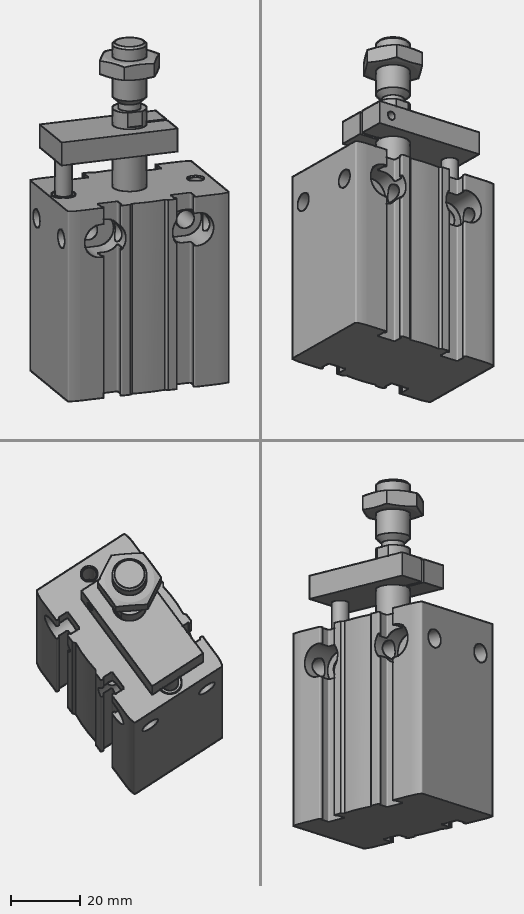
import cadquery as cq
import math

HOUSING_WIDTH = 32.0
HOUSING_LENGTH = 50.0
HOUSING_HEIGHT = 58.0
CORNER_FILLET = 0.5
SHOULDER_Y = 21.4
SHOULDER_END_INSET = 0.5

SLOT_Y = 11.3
SLOT_WIDTH = 6.2
SLOT_MOUTH = 5.3
SLOT_DEPTH = 4.2
LIP_THICKNESS = 1.0
LIP_FILLET = 0.4
SLOT_FLOOR_FILLET = 0.4

RECESS_OUTER_Y = 5.9
RECESS_INNER_Y = 5.1
RECESS_DEPTH = 0.6
BULGE_INSET = 0.3

MOUNT_HOLE_DIAMETER = 5.5
MOUNT_HOLE_Z = HOUSING_HEIGHT - 10.0
CROSS_HOLE_Y = 15.0
LENGTHWISE_HOLE_X = 10.0
COUNTERBORE_DIAMETER = 10.0
COUNTERBORE_STRETCH = 2.8
COUNTERBORE_DEPTH = 10.0

PORT_Y = 20.5
PORT_DIAMETER = 4.2
PORT_MOUTH_DIAMETER = 5.0
PORT_DEPTH = 10.0
DRILL_POINT_ANGLE = 118

ROD_DIAMETER = 10.0
ROD_TOP_Z = 102.0
ROD_TIP_DIAMETER = 8.7
ROD_INSERTION = 20.0
NECK_DIAMETER = 6.6
NECK_BOTTOM_Z = 82.0
NECK_TOP_Z = 83.9
FLATS_BOTTOM_Z = 77.6
FLATS_WIDTH = 9.0

NUT_ACROSS_FLATS = 16.0
NUT_THICKNESS = 5.0
NUT_BOTTOM_Z = 92.8
NUT_FACE_DIAMETER = 14.4
NUT_CORNER_DROP = 0.5

PLATE_WIDTH = 18.0
PLATE_FRONT_Y = -24.5
PLATE_BACK_Y = 11.5
PLATE_BOTTOM_Z = 70.0
PLATE_THICKNESS = 7.0
SLIT_WIDTH = 1.0
SCREW_HOLE_DIAMETER = 2.5
SCREW_HOLE_Y = 7.2

GUIDE_Y = -PORT_Y
PIN_DIAMETER = 5.0
PIN_PLATE_DEPTH = 4.0
PIN_INSERTION = 20.0
BUSHING_DIAMETER = 7.0
BUSHING_FACE_DIAMETER = 6.6
BUSHING_LENGTH = 5.0


def upright_cylinder(diameter, bottom, top, y=0.0):
    """Cylinder along Z between two heights, centred on X = 0."""
    return cq.Workplane("XY", origin=(0, y, bottom)).circle(diameter / 2).extrude(top - bottom)


def housing_outline():
    """Plain prism: flat sides that curve in slightly towards the two ends."""
    side_x = HOUSING_WIDTH / 2
    end_y = HOUSING_LENGTH / 2
    run = end_y - SHOULDER_Y
    radius = (run**2 + SHOULDER_END_INSET**2) / (2 * SHOULDER_END_INSET)
    end_x = side_x - SHOULDER_END_INSET
    middle_x = side_x - radius + math.sqrt(radius**2 - (run / 2) ** 2)
    middle_y = SHOULDER_Y + run / 2
    prism = (
        cq.Workplane("XY")
        .moveTo(side_x, -SHOULDER_Y)
        .lineTo(side_x, SHOULDER_Y)
        .threePointArc((middle_x, middle_y), (end_x, end_y))
        .lineTo(-end_x, end_y)
        .threePointArc((-middle_x, middle_y), (-side_x, SHOULDER_Y))
        .lineTo(-side_x, -SHOULDER_Y)
        .threePointArc((-middle_x, -middle_y), (-end_x, -end_y))
        .lineTo(end_x, -end_y)
        .threePointArc((middle_x, -middle_y), (side_x, -SHOULDER_Y))
        .close()
        .extrude(HOUSING_HEIGHT)
    )
    return prism.edges("|Z").edges("<Y or >Y").fillet(CORNER_FILLET)


def side_slot(side, y):
    """Tool for one sensor slot; `side` is +1 or -1 for the +X or -X side."""
    side_x = side * HOUSING_WIDTH / 2
    lip_x = side_x - side * LIP_THICKNESS
    floor_x = side_x - side * SLOT_DEPTH
    round_x = side_x - side * LIP_FILLET
    half_mouth = SLOT_MOUTH / 2
    half_open = half_mouth + LIP_FILLET
    bend = LIP_FILLET * (1 - math.sqrt(0.5))
    cavity = (
        cq.Workplane("XY")
        .center((lip_x + floor_x) / 2, y)
        .rect(abs(lip_x - floor_x), SLOT_WIDTH)
        .extrude(HOUSING_HEIGHT)
        .edges("|Z and " + ("<X" if side > 0 else ">X"))
        .fillet(SLOT_FLOOR_FILLET)
    )
    mouth = (
        cq.Workplane("XY")
        .moveTo(lip_x, y - half_mouth)
        .lineTo(round_x, y - half_mouth)
        .threePointArc((side_x - side * bend, y - half_mouth - bend), (side_x, y - half_open))
        .lineTo(side_x, y + half_open)
        .threePointArc((side_x - side * bend, y + half_mouth + bend), (round_x, y + half_mouth))
        .lineTo(lip_x, y + half_mouth)
        .close()
        .extrude(HOUSING_HEIGHT)
    )
    return cavity.union(mouth)


def side_recess(side):
    """Tool for the shallow recess with a bulged floor."""
    side_x = side * HOUSING_WIDTH / 2
    floor_x = side_x - side * RECESS_DEPTH
    return (
        cq.Workplane("XY")
        .moveTo(side_x, -RECESS_OUTER_Y)
        .lineTo(floor_x, -RECESS_INNER_Y)
        .threePointArc((side_x - side * BULGE_INSET, 0), (floor_x, RECESS_INNER_Y))
        .lineTo(side_x, RECESS_OUTER_Y)
        .close()
        .extrude(HOUSING_HEIGHT)
    )


def cross_hole(end):
    """Tool for one hole along X with a stretched counterbore at both ends."""
    y = end * CROSS_HOLE_Y
    hole = (
        cq.Workplane("YZ", origin=(0, y, MOUNT_HOLE_Z))
        .circle(MOUNT_HOLE_DIAMETER / 2)
        .extrude(HOUSING_WIDTH / 2, both=True)
    )
    counterbore_y = y - end * COUNTERBORE_STRETCH / 2
    for side in (-1, 1):
        counterbore = (
            cq.Workplane("YZ", origin=(side * HOUSING_WIDTH / 2, counterbore_y, MOUNT_HOLE_Z))
            .slot2D(COUNTERBORE_DIAMETER + COUNTERBORE_STRETCH, COUNTERBORE_DIAMETER)
            .extrude(-side * COUNTERBORE_DEPTH)
        )
        hole = hole.union(counterbore)
    return hole


def lengthwise_hole(side):
    """Tool for one plain hole along Y."""
    return (
        cq.Workplane("XZ", origin=(side * LENGTHWISE_HOLE_X, 0, MOUNT_HOLE_Z))
        .circle(MOUNT_HOLE_DIAMETER / 2)
        .extrude(HOUSING_LENGTH / 2, both=True)
    )


def port_hole():
    """Tool for the countersunk blind port with a drill point."""
    radius = PORT_DIAMETER / 2
    mouth_radius = PORT_MOUTH_DIAMETER / 2
    point_depth = radius / math.tan(math.radians(DRILL_POINT_ANGLE / 2))
    return (
        cq.Workplane("XZ", origin=(0, PORT_Y, HOUSING_HEIGHT))
        .polyline([
            (0, 0),
            (mouth_radius, 0),
            (radius, radius - mouth_radius),
            (radius, -PORT_DEPTH),
            (0, -PORT_DEPTH - point_depth),
        ])
        .close()
        .revolve(360, (0, 0, 0), (0, 1, 0))
    )


def make_housing():
    body = housing_outline()
    for side in (-1, 1):
        body = body.cut(side_recess(side))
        body = body.cut(lengthwise_hole(side))
        for end in (-1, 1):
            body = body.cut(side_slot(side, end * SLOT_Y))
    for end in (-1, 1):
        body = body.cut(cross_hole(end))
    body = body.cut(port_hole())
    top = HOUSING_HEIGHT
    body = body.cut(upright_cylinder(ROD_DIAMETER, top - ROD_INSERTION, top))
    body = body.cut(upright_cylinder(PIN_DIAMETER, top - PIN_INSERTION, top, GUIDE_Y))
    return body.cut(upright_cylinder(BUSHING_DIAMETER, top - BUSHING_LENGTH, top, GUIDE_Y))


def make_rod():
    radius = ROD_DIAMETER / 2
    neck_radius = NECK_DIAMETER / 2
    tip_radius = ROD_TIP_DIAMETER / 2
    bottom = HOUSING_HEIGHT - ROD_INSERTION
    rod = (
        cq.Workplane("XZ")
        .polyline([
            (0, bottom),
            (radius, bottom),
            (radius, NECK_BOTTOM_Z),
            (neck_radius, NECK_BOTTOM_Z),
            (neck_radius, NECK_TOP_Z),
            (radius, NECK_TOP_Z + radius - neck_radius),
            (radius, ROD_TOP_Z - (radius - tip_radius)),
            (tip_radius, ROD_TOP_Z),
            (0, ROD_TOP_Z),
        ])
        .close()
        .revolve(360, (0, 0, 0), (0, 1, 0))
    )
    for side in (-1, 1):
        flat_cut = cq.Workplane("XY").box(
            ROD_DIAMETER, ROD_DIAMETER, NECK_BOTTOM_Z - FLATS_BOTTOM_Z, centered=(True, True, False)
        ).translate((side * (FLATS_WIDTH + ROD_DIAMETER) / 2, 0, FLATS_BOTTOM_Z))
        rod = rod.cut(flat_cut)
    return rod


def make_nut():
    corner_radius = NUT_ACROSS_FLATS / math.sqrt(3)
    face_radius = NUT_FACE_DIAMETER / 2
    top = NUT_BOTTOM_Z + NUT_THICKNESS
    hexagon = (
        cq.Workplane("XY", origin=(0, 0, NUT_BOTTOM_Z))
        .polygon(6, 2 * corner_radius)
        .extrude(NUT_THICKNESS)
        .rotate((0, 0, 0), (0, 0, 1), 90)
    )
    bevel = (
        cq.Workplane("XZ")
        .polyline([
            (0, NUT_BOTTOM_Z),
            (face_radius, NUT_BOTTOM_Z),
            (corner_radius, NUT_BOTTOM_Z + NUT_CORNER_DROP),
            (corner_radius, top - NUT_CORNER_DROP),
            (face_radius, top),
            (0, top),
        ])
        .close()
        .revolve(360, (0, 0, 0), (0, 1, 0))
    )
    bore = upright_cylinder(ROD_DIAMETER, NUT_BOTTOM_Z, top)
    return hexagon.intersect(bevel).cut(bore)


def make_plate():
    length = PLATE_BACK_Y - PLATE_FRONT_Y
    top = PLATE_BOTTOM_Z + PLATE_THICKNESS
    plate = (
        cq.Workplane("XY", origin=(0, (PLATE_FRONT_Y + PLATE_BACK_Y) / 2, PLATE_BOTTOM_Z))
        .rect(PLATE_WIDTH, length)
        .extrude(PLATE_THICKNESS)
    )
    slit = (
        cq.Workplane("XY", origin=(0, PLATE_BACK_Y / 2, PLATE_BOTTOM_Z))
        .rect(SLIT_WIDTH, PLATE_BACK_Y)
        .extrude(PLATE_THICKNESS)
    )
    screw_hole = (
        cq.Workplane("YZ", origin=(-PLATE_WIDTH / 2, SCREW_HOLE_Y, PLATE_BOTTOM_Z + PLATE_THICKNESS / 2))
        .circle(SCREW_HOLE_DIAMETER / 2)
        .extrude(PLATE_WIDTH / 2)
    )
    rod_bore = upright_cylinder(ROD_DIAMETER, PLATE_BOTTOM_Z, top)
    pin_socket = upright_cylinder(PIN_DIAMETER, PLATE_BOTTOM_Z, PLATE_BOTTOM_Z + PIN_PLATE_DEPTH, GUIDE_Y)
    return plate.cut(slit).cut(screw_hole).cut(rod_bore).cut(pin_socket)


def make_guide_pin():
    return upright_cylinder(
        PIN_DIAMETER, HOUSING_HEIGHT - PIN_INSERTION, PLATE_BOTTOM_Z + PIN_PLATE_DEPTH, GUIDE_Y
    )


def make_bushing():
    """Sleeve around the guide pin, flush with the housing top, with a bevelled outer rim."""
    bottom = HOUSING_HEIGHT - BUSHING_LENGTH
    sleeve = upright_cylinder(BUSHING_DIAMETER, bottom, HOUSING_HEIGHT, GUIDE_Y)
    sleeve = sleeve.faces(">Z").chamfer((BUSHING_DIAMETER - BUSHING_FACE_DIAMETER) / 2)
    return sleeve.cut(upright_cylinder(PIN_DIAMETER, bottom, HOUSING_HEIGHT, GUIDE_Y))


housing = make_housing()
rod = make_rod()
nut = make_nut()
plate = make_plate()
guide_pin = make_guide_pin()
bushing = make_bushing()

result = cq.Compound.makeCompound([
    housing.val(),
    rod.val(),
    nut.val(),
    plate.val(),
    guide_pin.val(),
    bushing.val(),
])